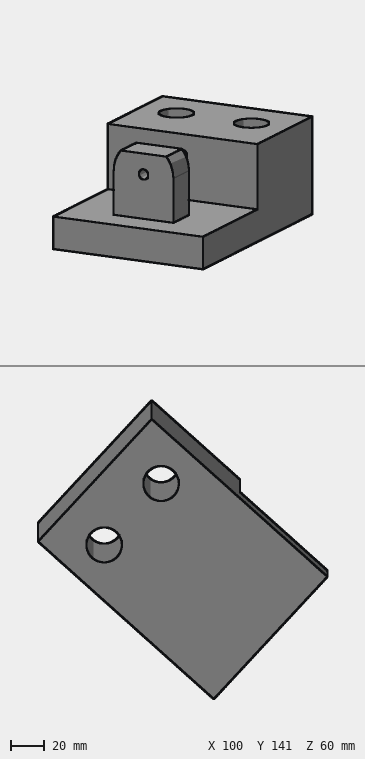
import cadquery as cq
import math

width = 100.0
length = 141.0
height = 60.0
base_height = 20.0
block_depth = 70.9

lug_front = 20.0
lug_thickness = 20.0
lug_radius = 19.9
pin_diameter = 6.2
pin_drop = 12.8

bolt_diameter = 21.0
bolt_spacing = 50.0
bolt_back_offset = 30.3

bolt_y = length - bolt_back_offset
pin_height = height - pin_drop
block_front = length - block_depth


def make_box(depth, box_height, front):
    """Full-width box standing on Z = 0."""
    return (
        cq.Workplane("XY")
        .box(width, depth, box_height, centered=(True, False, False))
        .translate((0, front, 0))
    )


def make_lug():
    """Lug rounded about the pin axis and cut off flat at the top face."""
    flat_half_width = math.sqrt(lug_radius**2 - pin_drop**2)
    mid_angle = math.asin(pin_drop / lug_radius) / 2
    mid_x = lug_radius * math.cos(mid_angle)
    mid_z = pin_height + lug_radius * math.sin(mid_angle)
    return (
        cq.Workplane("XZ", origin=(0, lug_front, 0))
        .moveTo(-lug_radius, 0)
        .lineTo(lug_radius, 0)
        .lineTo(lug_radius, pin_height)
        .threePointArc((mid_x, mid_z), (flat_half_width, height))
        .lineTo(-flat_half_width, height)
        .threePointArc((-mid_x, mid_z), (-lug_radius, pin_height))
        .close()
        .extrude(-lug_thickness)
    )


def make_bolt_holes():
    """Pair of vertical through holes in the rear block."""
    return (
        cq.Workplane("XY")
        .pushPoints([(side * bolt_spacing / 2, bolt_y) for side in (-1, 1)])
        .circle(bolt_diameter / 2)
        .extrude(height)
    )


def make_pin_hole():
    """Horizontal hole through the lug, ending in the block level with the bolt holes."""
    return (
        cq.Workplane("XZ", origin=(0, 0, pin_height))
        .circle(pin_diameter / 2)
        .extrude(-bolt_y)
    )


base = make_box(length, base_height, 0)
block = make_box(block_depth, height, block_front)
body = base.union(block).union(make_lug())
result = body.cut(make_bolt_holes()).cut(make_pin_hole())